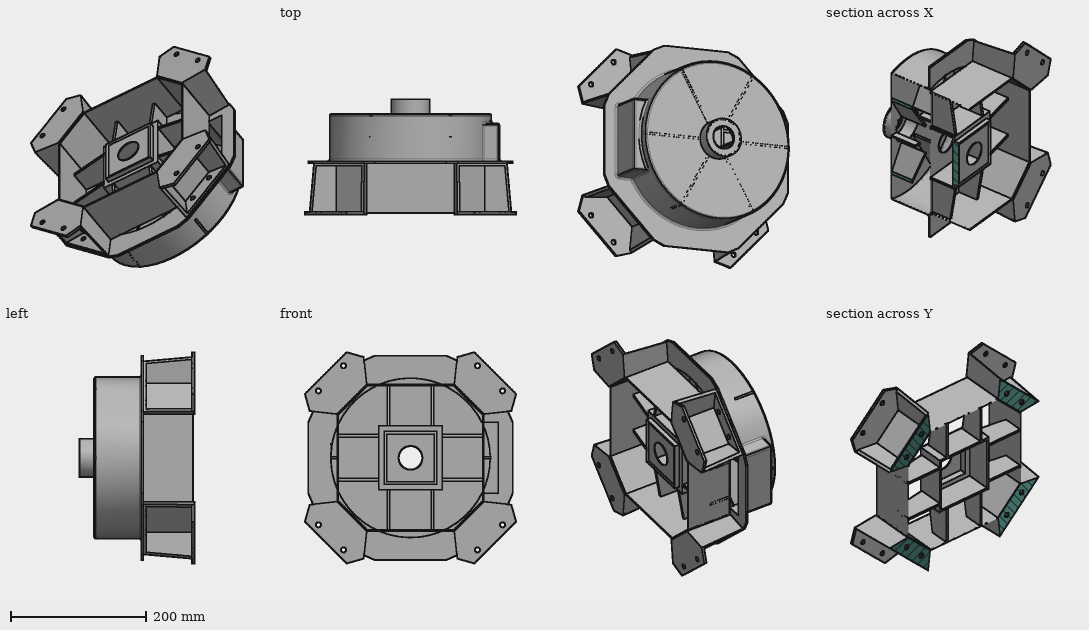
import cadquery as cq
import math


FOOT_SIZE = 313.0
PLATE = 4.0
FOOT_REACH = 177.5
FOOT_SHOULDER = 154.5
FOOT_SHOULDER_HALF = 56.5
BACK_REACH = 149.5
MOUNT_HOLE = 7.2
FOOT_HOLE_AT = (166.5, 26.3)
BACK_HOLE_AT = (135.8, 20.0)

FLANGE_FRONT = 76.0
FLANGE_THICKNESS = 3.0
FLANGE_BACK = FLANGE_FRONT + FLANGE_THICKNESS
FLANGE_HALF = 151.5
FLANGE_STRAIGHT_HALF = 52.5
FLANGE_CORNER_NEAR = 69.8
FLANGE_CORNER_FAR = 144.0

SHELL = 2.0
DRUM_RADIUS = 120.0
DRUM_BACK = 149.3
NECK_RADIUS = 28.63
NECK_BACK = 171.0
NECK_HOLE = 34.5
BOX_REACH = 131.7
BOX_HALF_WIDTH = 54.5
BOX_BACK = 135.2
OUTER_ROUND = 3.8
ROOT_ROUND = 3.0
RIB_COUNT = 6
RIB_THICKNESS = 3.0
RIB_INNER_FRONT = 102.5
RIB_OUTER_FRONT = 115.5

FRAME_FRONT = 2.2
FRAME_HALF = 108.5
FRAME_STRAIGHT_HALF = 64.8
FRAME_WALL = 2.0
FLOOR_THICKNESS = 1.3
FLOOR_FRONT = FLANGE_FRONT - FLOOR_THICKNESS
CRATE_OFFSET = 32.5
CRATE_THICKNESS = 4.0
CRATE_CENTER_FRONT = 32.2
CRATE_WALL_FRONT = 42.0
TUBE_SIZE = 94.5
TUBE_FRONT = 30.0
TUBE_WALL = 4.0
PAD_SIZE = 78.2
PAD_FRONT = 22.2
PAD_FACE = 1.3
FRAME_HOLE = 35.7

MARGIN = 0.3


def prism(outline, front, back):
    """A solid with an X-Z outline that reaches from Y = front to Y = back."""
    return cq.Workplane("XZ", origin=(0, front, 0)).polyline(outline).close().extrude(front - back)


def disc(radius, front, back):
    """A round solid on the Y axis."""
    return cq.Workplane("XZ", origin=(0, front, 0)).circle(radius).extrude(front - back)


def block(x0, x1, front, back, z0, z1):
    """A rectangular solid between the given limits."""
    size = (x1 - x0, back - front, z1 - z0)
    return cq.Workplane("XY").box(*size, centered=False).translate((x0, front, z0))


def square_block(size, front, back):
    """A square solid centred on the Y axis."""
    half = size / 2
    return block(-half, half, front, back, -half, half)


def turned(body, angle):
    """The body turned around the drum axis."""
    return body.rotate((0, 0, 0), (0, 1, 0), angle)


def four_fold(points):
    """Repeats the points of one quadrant around the axis."""
    outline = []
    for _ in range(4):
        outline += points
        points = [(-z, x) for x, z in points]
    return outline


def box_shape(inset):
    return block(
        0, BOX_REACH - inset, FLANGE_FRONT, BOX_BACK - inset,
        inset - BOX_HALF_WIDTH, BOX_HALF_WIDTH - inset,
    )


def build_flange():
    quadrant = [
        (FLANGE_HALF, FLANGE_STRAIGHT_HALF),
        (FLANGE_CORNER_FAR, FLANGE_CORNER_NEAR),
        (FLANGE_CORNER_NEAR, FLANGE_CORNER_FAR),
        (FLANGE_STRAIGHT_HALF, FLANGE_HALF),
    ]
    return prism(four_fold(quadrant), FLANGE_FRONT, FLANGE_BACK)


def build_housing_outside():
    box = box_shape(0).edges("(>X and |Y) or (>Y and (|X or >X))").fillet(OUTER_ROUND)
    drum = disc(DRUM_RADIUS, FLANGE_FRONT, DRUM_BACK).faces(">Y").edges().fillet(OUTER_ROUND)
    body = drum.union(box).union(build_flange())
    reach = (BOX_REACH + FLANGE_CORNER_FAR) / 2
    root = cq.selectors.BoxSelector(
        (-reach, FLANGE_BACK - MARGIN, -reach), (reach, FLANGE_BACK + MARGIN, reach), boundingbox=True)
    corner = BOX_HALF_WIDTH + MARGIN
    seam = cq.selectors.BoxSelector(
        (DRUM_RADIUS / 2, FLANGE_BACK - MARGIN, -corner),
        (DRUM_RADIUS, BOX_BACK + MARGIN, corner), boundingbox=True)
    body = body.edges(root + seam).fillet(ROOT_ROUND)
    return body.union(disc(NECK_RADIUS, DRUM_BACK - SHELL, NECK_BACK))


def build_housing_rib():
    """One rib along +X, with a front edge that recedes toward the drum wall."""
    inner = NECK_RADIUS - SHELL / 2
    outer = DRUM_RADIUS - SHELL / 2
    back = DRUM_BACK - SHELL / 2
    outline = [(inner, RIB_INNER_FRONT), (outer, RIB_OUTER_FRONT), (outer, back), (inner, back)]
    return cq.Workplane("XY").polyline(outline).close().extrude(RIB_THICKNESS / 2, both=True)


def build_housing():
    body = build_housing_outside()
    body = body.cut(disc(DRUM_RADIUS - SHELL, FLANGE_FRONT, DRUM_BACK - SHELL))
    body = body.cut(box_shape(SHELL))
    body = body.cut(disc(NECK_RADIUS - SHELL, FLANGE_FRONT, NECK_BACK - SHELL))
    body = body.cut(disc(NECK_HOLE / 2, FLANGE_FRONT, NECK_BACK))
    rib = build_housing_rib()
    for i in range(RIB_COUNT):
        body = body.union(turned(rib, i * 360 / RIB_COUNT))
    return body


def octagon(inset, front, back):
    half = FRAME_HALF - inset
    straight = FRAME_STRAIGHT_HALF - inset * math.tan(math.pi / 8)
    return prism(four_fold([(half, straight), (straight, half)]), front, back)


def build_crate_rib(offset):
    """A rib across the tray, at Z = offset, deepest at the tray walls."""
    reach = FRAME_HALF - FRAME_WALL / 2
    half = TUBE_SIZE / 2
    outline = [
        (-reach, FLANGE_FRONT), (-reach, CRATE_WALL_FRONT), (-half, CRATE_CENTER_FRONT),
        (half, CRATE_CENTER_FRONT), (reach, CRATE_WALL_FRONT), (reach, FLANGE_FRONT),
    ]
    plane = cq.Workplane("XY", origin=(0, 0, offset))
    return plane.polyline(outline).close().extrude(CRATE_THICKNESS / 2, both=True)


def build_frame():
    body = octagon(0, FRAME_FRONT, FLANGE_FRONT).cut(octagon(FRAME_WALL, FRAME_FRONT, FLOOR_FRONT))
    for offset in (-CRATE_OFFSET, CRATE_OFFSET):
        rib = build_crate_rib(offset)
        body = body.union(rib).union(turned(rib, 90))
    body = body.union(square_block(TUBE_SIZE, TUBE_FRONT, FLANGE_FRONT))
    body = body.union(square_block(PAD_SIZE, PAD_FRONT, TUBE_FRONT))
    body = body.cut(square_block(TUBE_SIZE - 2 * TUBE_WALL, TUBE_FRONT + TUBE_WALL, FLOOR_FRONT))
    body = body.cut(square_block(PAD_SIZE - 2 * TUBE_WALL, PAD_FRONT + PAD_FACE, FLOOR_FRONT))
    return body.cut(disc(FRAME_HOLE / 2, PAD_FRONT, FLANGE_FRONT))


WEB = (FRAME_HALF + FRAME_STRAIGHT_HALF) / math.sqrt(2)
WEB_HALF = (FRAME_HALF - FRAME_STRAIGHT_HALF) / math.sqrt(2)
FOOT_TIP_HALF = FOOT_SIZE / math.sqrt(2) - FOOT_REACH
SIDE_SLOPE = (FOOT_SHOULDER_HALF - WEB_HALF) / (FOOT_SHOULDER - WEB)
OVERCUT = 3.0


def flared_outline(start, end, inset):
    """A trapezoid between the side walls, moved in from their outer faces."""
    start_half = WEB_HALF + SIDE_SLOPE * (start - WEB) - inset
    end_half = WEB_HALF + SIDE_SLOPE * (end - WEB) - inset
    return [(start, -start_half), (end, -end_half), (end, end_half), (start, start_half)]


def build_channel():
    """The web, side walls and back plate, with the outer end sloping in toward the flange."""
    end = FOOT_SHOULDER + OVERCUT
    wall = PLATE * math.hypot(1, SIDE_SLOPE)
    channel = prism(flared_outline(WEB, FOOT_SHOULDER, 0), 0, FLANGE_FRONT)
    channel = channel.cut(prism(flared_outline(WEB + PLATE, end, wall), PLATE, FLANGE_FRONT - PLATE))
    half = FOOT_SHOULDER_HALF + OVERCUT
    slope_cut = (
        cq.Workplane("XY", origin=(0, 0, -half))
        .polyline([(BACK_REACH, FLANGE_FRONT), (FOOT_SHOULDER, PLATE), (end, PLATE), (end, FLANGE_FRONT)])
        .close()
        .extrude(2 * half)
    )
    return channel.cut(slope_cut)


def build_foot():
    outline = [
        (WEB, -WEB_HALF), (FOOT_SHOULDER, -FOOT_SHOULDER_HALF), (FOOT_REACH, -FOOT_TIP_HALF),
        (FOOT_REACH, FOOT_TIP_HALF), (FOOT_SHOULDER, FOOT_SHOULDER_HALF), (WEB, WEB_HALF),
    ]
    return prism(outline, 0, PLATE)


def build_bracket():
    """One bracket, pointing along +X."""
    body = build_channel().union(build_foot())
    for (along, across), front in ((FOOT_HOLE_AT, 0), (BACK_HOLE_AT, FLANGE_FRONT - PLATE)):
        hole = disc(MOUNT_HOLE / 2, front, front + PLATE)
        for side in (-1, 1):
            body = body.cut(hole.translate((along, 0, side * across)))
    return body


housing = build_housing()
frame = build_frame()
brackets = [turned(build_bracket(), angle) for angle in (45, 135, 225, 315)]

result = cq.Compound.makeCompound([housing.val(), frame.val(), *[bracket.val() for bracket in brackets]])